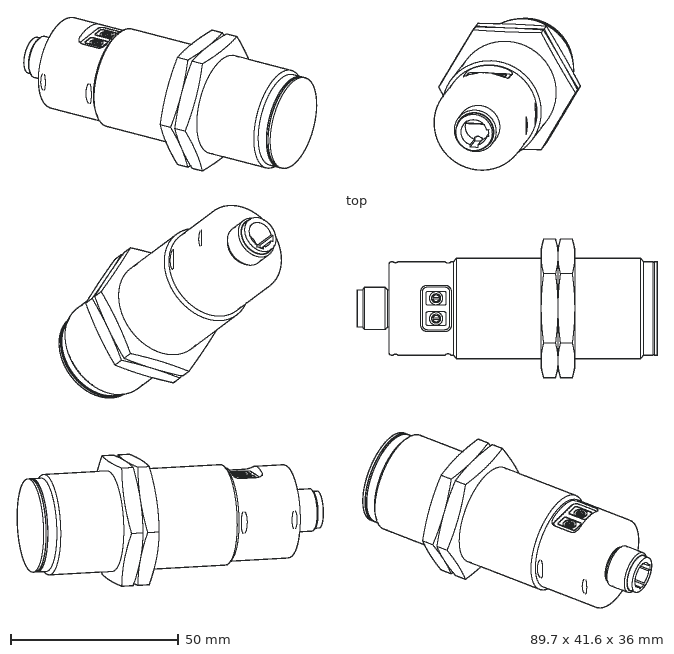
import cadquery as cq
import math

total_length = 89.7
barrel_radius = 15.1
end_radius = 14.0
back_face = 9.5
back_edge_fillet = 0.8
barrel_start = 28.8
barrel_end = 85.6
barrel_chamfer = 0.9
front_groove_start = 88.35
front_groove_width = 0.5
front_groove_depth = 0.2

neck_radius = 5.6
thread_radius = 6.4
thread_start = 1.7
thread_end = 9.15
thread_chamfer = 0.8
lead_in_length = 0.5
lead_in_drop = 0.6

socket_radius = 3.95
socket_depth = 7.2
floor_step = 0.9
floor_step_height = 0.9
key_width = 2.3
key_bottom = 4.5
key_shoulder = 3.3
key_peak = 2.8
side_slot_width = 2.0
side_slot_reach = 4.5

dimple_radius = 1.3
back_dimple_position = 11.5
back_dimple_depth = 0.29
front_dimple_position = 27.2
front_dimple_depth = 0.41

pocket_center = 23.6
pocket_length = 9.2
pocket_width = 13.8
pocket_corner = 2.0
pocket_floor = 11.75
pad_chamfer = 0.5
window_length = 6.0
window_width = 4.1
window_corner = 0.5
window_depth = 0.2
adjuster_spacing = 6.1
seat_radius = 2.0
seat_depth = 0.2
well_radius = 1.35
well_depth = 0.5
screw_radius = 1.0
screw_slot_width = 0.45
screw_slot_depth = 0.3

across_flats = 36.0
nut_start = 55.0
nut_thickness = 5.0
nut_count = 2
nut_chamfer = 0.7


def make_barrel():
    groove_end = front_groove_start + front_groove_width
    groove_radius = end_radius - front_groove_depth
    fillet_middle = back_edge_fillet * (1 - math.sqrt(0.5))
    return (
        cq.Workplane("XZ")
        .moveTo(0, 0)
        .lineTo(0, neck_radius)
        .lineTo(thread_start, neck_radius)
        .lineTo(thread_start, thread_radius - lead_in_drop)
        .lineTo(thread_start + lead_in_length, thread_radius)
        .lineTo(thread_end - thread_chamfer, thread_radius)
        .lineTo(thread_end, neck_radius)
        .lineTo(back_face, neck_radius)
        .lineTo(back_face, end_radius - back_edge_fillet)
        .threePointArc(
            (back_face + fillet_middle, end_radius - fillet_middle),
            (back_face + back_edge_fillet, end_radius),
        )
        .lineTo(barrel_start, end_radius)
        .lineTo(barrel_start + barrel_chamfer, barrel_radius)
        .lineTo(barrel_end - barrel_chamfer, barrel_radius)
        .lineTo(barrel_end, end_radius)
        .lineTo(front_groove_start, end_radius)
        .lineTo(front_groove_start, groove_radius)
        .lineTo(groove_end, groove_radius)
        .lineTo(groove_end, end_radius)
        .lineTo(total_length, end_radius)
        .lineTo(total_length, 0)
        .close()
        .revolve(360, (0, 0, 0), (1, 0, 0))
    )


def make_socket():
    """Space to cut from the connector: round bore, stepped floor, key slot and side slot."""
    full_depth = socket_depth + floor_step
    bore = cq.Workplane("YZ").circle(socket_radius).extrude(socket_depth)
    upper_half = (
        cq.Workplane("XY", origin=(0, 0, floor_step_height))
        .box(full_depth, 2 * socket_radius, socket_radius, centered=(False, True, False))
    )
    deep_part = cq.Workplane("YZ").circle(socket_radius).extrude(full_depth).intersect(upper_half)
    key_slot = (
        cq.Workplane("YZ")
        .moveTo(-key_width / 2, -key_bottom)
        .lineTo(-key_width / 2, -key_shoulder)
        .lineTo(0, -key_peak)
        .lineTo(key_width / 2, -key_shoulder)
        .lineTo(key_width / 2, -key_bottom)
        .close()
        .extrude(full_depth)
    )
    side_slot = (
        cq.Workplane("XY", origin=(0, -side_slot_reach, 0))
        .box(socket_depth, side_slot_reach, side_slot_width, centered=(False, False, True))
    )
    return bore.union(deep_part).union(key_slot).union(side_slot)


def make_dimples(position, depth):
    offset = end_radius - depth + dimple_radius
    return (
        cq.Workplane("XY")
        .pushPoints([(position, -offset), (position, offset)])
        .circle(dimple_radius)
        .extrude(end_radius, both=True)
    )


def make_pocket_block(height):
    """Block with the pocket's rounded outline, standing on the bottom of its edge groove."""
    return (
        cq.Workplane("XY", origin=(pocket_center, 0, pocket_floor - pad_chamfer))
        .rect(pocket_length, pocket_width)
        .extrude(height)
        .edges("|Z")
        .fillet(pocket_corner)
    )


def make_pocket():
    """Space to cut for the pocket, leaving a pad with a chamfered rim as its floor."""
    pad_thickness = 2 * pad_chamfer
    pad = (
        make_pocket_block(pad_thickness)
        .translate((0, 0, pad_chamfer - pad_thickness))
        .faces(">Z")
        .chamfer(pad_chamfer)
    )
    return make_pocket_block(end_radius).cut(pad)


def make_adjuster_recess(side):
    """Space to cut for a window, a round seat and a ring well that leaves a slotted screw standing."""
    window_floor = pocket_floor - window_depth
    seat_floor = window_floor - seat_depth
    well_floor = seat_floor - well_depth
    center_y = side * adjuster_spacing / 2
    window = (
        cq.Workplane("XY", origin=(pocket_center, center_y, window_floor))
        .rect(window_length, window_width)
        .extrude(window_depth)
        .edges("|Z")
        .fillet(window_corner)
    )
    seat = (
        cq.Workplane("XY", origin=(pocket_center, center_y, seat_floor))
        .circle(seat_radius)
        .extrude(seat_depth)
    )
    well = (
        cq.Workplane("XY", origin=(pocket_center, center_y, well_floor))
        .circle(well_radius)
        .circle(screw_radius)
        .extrude(well_depth)
    )
    screw_slot = (
        cq.Workplane("XY", origin=(pocket_center, center_y, seat_floor))
        .rect(2 * screw_radius, screw_slot_width)
        .extrude(-screw_slot_depth)
    )
    return window.union(seat).union(well).union(screw_slot)


def make_housing():
    housing = make_barrel().cut(make_socket())
    housing = housing.cut(make_dimples(back_dimple_position, back_dimple_depth))
    housing = housing.cut(make_dimples(front_dimple_position, front_dimple_depth))
    housing = housing.cut(make_pocket())
    for side in (-1, 1):
        housing = housing.cut(make_adjuster_recess(side))
    return housing


def make_nut(start):
    """Hexagon nut with corners on Y, its corners turned conical on both faces."""
    corner_radius = across_flats / math.sqrt(3)
    flat_radius = across_flats / 2
    end = start + nut_thickness
    hexagon = (
        cq.Workplane("YZ", origin=(start, 0, 0))
        .polygon(6, 2 * corner_radius)
        .circle(barrel_radius)
        .extrude(nut_thickness)
    )
    turned_envelope = (
        cq.Workplane("XZ")
        .moveTo(start, 0)
        .lineTo(start, flat_radius)
        .lineTo(start + nut_chamfer, corner_radius)
        .lineTo(end - nut_chamfer, corner_radius)
        .lineTo(end, flat_radius)
        .lineTo(end, 0)
        .close()
        .revolve(360, (0, 0, 0), (1, 0, 0))
    )
    return hexagon.intersect(turned_envelope)


housing = make_housing()
nuts = [make_nut(nut_start + index * nut_thickness) for index in range(nut_count)]
result = cq.Compound.makeCompound([housing.solids().val(), *[nut.solids().val() for nut in nuts]])